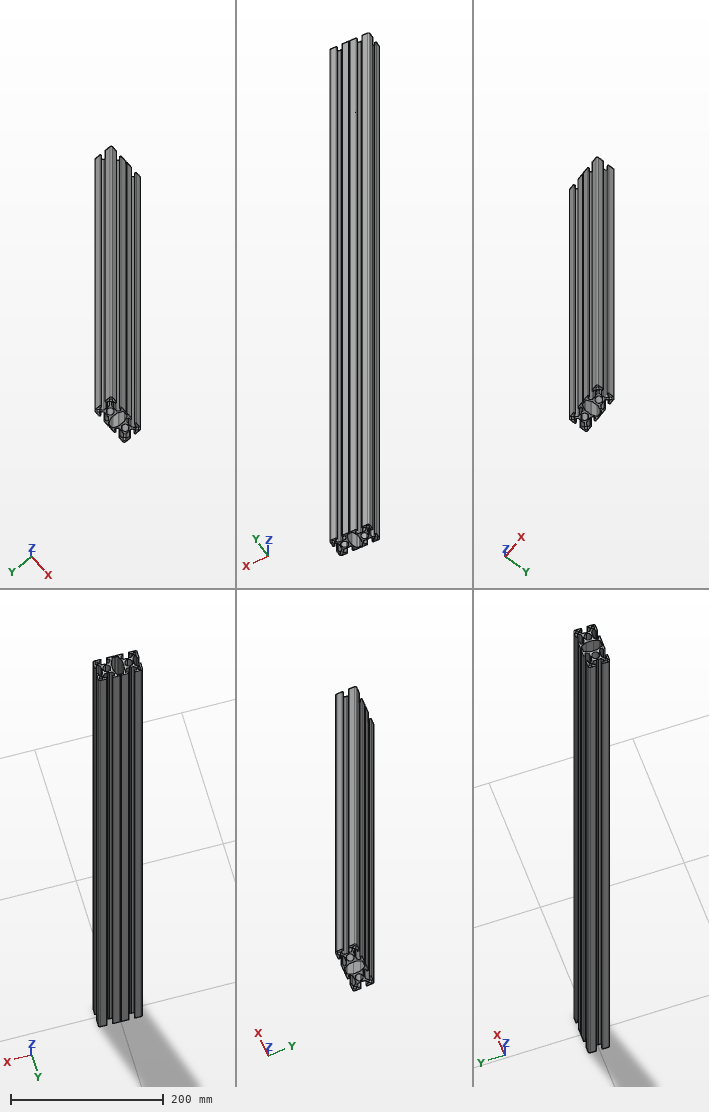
import cadquery as cq

length = 1000.0
module = 30.0
width = 2 * module
corner_radius = 2.5

mouth_width = 8.0
mouth_radius = 0.8
inside_width = 15.0
inside_radius = 1.0
floor_width = 10.0
lip = 2.5
slot_depth = 8.0
shoulder_depth = slot_depth - (inside_width - floor_width) / 2

floor_groove_width = 3.0
face_groove_width = 2.0
groove_depth = 1.0

bore_diameter = 10.0
corner_hole_diameter = 4.0
corner_hole_inset = 4.0

cavity_wall = 2.0
cavity_radius = 1.0
cavity_end_width = 8.0
cavity_middle_width = 15.0
cavity_middle_height = 10.0

module_centers = (-module / 2, module / 2)


def make_body():
    return cq.Workplane("XY").rect(width, module).extrude(length).edges("|Z").fillet(corner_radius)


def make_prism(points):
    return cq.Workplane("XY").polyline(points).close().extrude(length)


def make_groove(groove_width):
    """V-groove opening towards +Y with its mouth on y = 0."""
    return make_prism([(-groove_width / 2, 0), (groove_width / 2, 0), (0, -groove_depth)])


def make_slot():
    """T-slot with a grooved floor, opening towards +Y with its mouth on y = 0."""
    inside = make_prism(
        [
            (inside_width / 2, -lip),
            (inside_width / 2, -shoulder_depth),
            (floor_width / 2, -slot_depth),
            (-floor_width / 2, -slot_depth),
            (-inside_width / 2, -shoulder_depth),
            (-inside_width / 2, -lip),
        ]
    )
    inside = inside.edges("|Z").fillet(inside_radius)

    rim_x = mouth_width / 2 + mouth_radius
    mouth = (
        cq.Workplane("XY")
        .moveTo(-rim_x, 0)
        .radiusArc((-mouth_width / 2, -mouth_radius), mouth_radius)
        .lineTo(-mouth_width / 2, -lip)
        .lineTo(mouth_width / 2, -lip)
        .lineTo(mouth_width / 2, -mouth_radius)
        .radiusArc((rim_x, 0), mouth_radius)
        .close()
        .extrude(length)
    )

    floor_groove = make_groove(floor_groove_width).translate((0, -slot_depth, 0))
    return inside.union(mouth).union(floor_groove)


def make_cavity():
    """Central hollow, widest at mid height and narrower towards the wide faces."""
    end_x = cavity_end_width / 2
    end_y = module / 2 - cavity_wall
    middle_x = cavity_middle_width / 2
    middle_y = cavity_middle_height / 2
    right_side = [(end_x, -end_y), (middle_x, -middle_y), (middle_x, middle_y), (end_x, end_y)]
    left_side = [(-x, -y) for x, y in right_side]
    return make_prism(right_side + left_side).edges("|Z").fillet(cavity_radius)


def make_round_holes(centers, diameter):
    return cq.Workplane("XY").pushPoints(centers).circle(diameter / 2).extrude(length)


def place_on_face(cutter, angle, face_distance, offset=0):
    """Shift a cutter along its face and out to it, then turn it around Z."""
    return cutter.translate((offset, face_distance, 0)).rotate((0, 0, 0), (0, 0, 1), angle)


bore_centers = [(x, 0) for x in module_centers]
corner_x = width / 2 - corner_hole_inset
corner_y = module / 2 - corner_hole_inset
corner_centers = [(x, y) for x in (-corner_x, corner_x) for y in (-corner_y, corner_y)]

result = (
    make_body()
    .cut(make_cavity())
    .cut(make_round_holes(bore_centers, bore_diameter))
    .cut(make_round_holes(corner_centers, corner_hole_diameter))
)

slot = make_slot()
face_groove = make_groove(face_groove_width)

for wide_face_angle in (0, 180):
    result = result.cut(place_on_face(face_groove, wide_face_angle, module / 2))
    for center in module_centers:
        result = result.cut(place_on_face(slot, wide_face_angle, module / 2, center))

for narrow_face_angle in (90, 270):
    result = result.cut(place_on_face(slot, narrow_face_angle, width / 2))